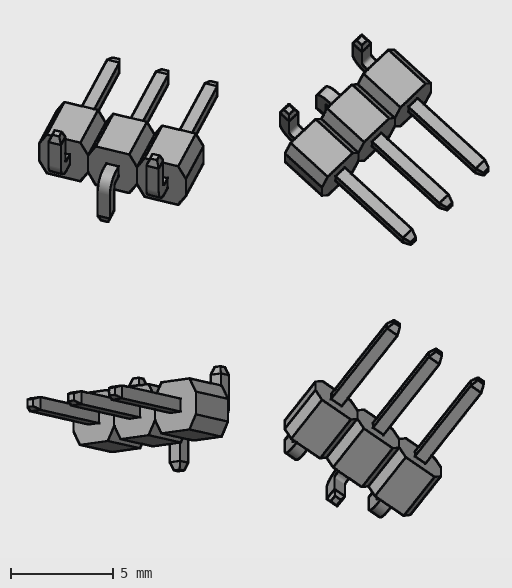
import cadquery as cq

pin_count = 3
pitch = 2.54
housing_depth = 2.54
housing_height = 2.54
chamfer_x = 0.4
chamfer_z = 0.71
pin_width = 0.64
overall_length = 8.82
tail_reach = 1.28
tail_height = 2.425
bend_inner_radius = 0.17
tip_length = 0.4
tip_width = 0.36

bend_outer_radius = bend_inner_radius + pin_width
half_pin = pin_width / 2
tail_front_y = -tail_reach
tail_back_y = tail_front_y + pin_width
post_end_y = overall_length - tail_reach
post_shoulder_y = post_end_y - tip_length
tail_shoulder_z = tail_height - tip_length


def position_x(index):
    """X position of a contact, with the row centred on X = 0."""
    return (index - (pin_count - 1) / 2) * pitch


def bent_wire():
    """Square wire bent from the long post up into the tail, without its tips."""
    bend_y = tail_front_y + bend_outer_radius
    bend_z = -half_pin + bend_outer_radius
    return (
        cq.Workplane("YZ")
        .moveTo(post_shoulder_y, -half_pin)
        .lineTo(bend_y, -half_pin)
        .radiusArc((tail_front_y, bend_z), bend_outer_radius)
        .lineTo(tail_front_y, tail_shoulder_z)
        .lineTo(tail_back_y, tail_shoulder_z)
        .lineTo(tail_back_y, bend_z)
        .radiusArc((bend_y, half_pin), -bend_inner_radius)
        .lineTo(post_shoulder_y, half_pin)
        .close()
        .extrude(half_pin, both=True)
    )


def tapered_tip(base_point, direction):
    """Square tip narrowing from the wire section at base_point."""
    base = cq.Plane(origin=base_point, xDir=(1, 0, 0), normal=direction)
    return (
        cq.Workplane(base)
        .rect(pin_width, pin_width)
        .workplane(offset=tip_length)
        .rect(tip_width, tip_width)
        .loft(ruled=True)
    )


def make_pin(index):
    """Bent pin; every second tail points down instead of up."""
    post_tip = tapered_tip((0, post_shoulder_y, 0), (0, 1, 0))
    tail_tip = tapered_tip((0, tail_front_y + half_pin, tail_shoulder_z), (0, 0, 1))
    pin = bent_wire().union(post_tip).union(tail_tip)
    if index % 2 == 1:
        pin = pin.mirror("XY")
    return pin.translate((position_x(index), 0, 0))


def make_housing(index):
    """Eight-sided housing block with a square through hole for its pin."""
    half_width = pitch / 2
    half_height = housing_height / 2
    flat_x = half_width - chamfer_x
    flat_z = half_height - chamfer_z
    outline = [
        (flat_x, half_height),
        (half_width, flat_z),
        (half_width, -flat_z),
        (flat_x, -half_height),
        (-flat_x, -half_height),
        (-half_width, -flat_z),
        (-half_width, flat_z),
        (-flat_x, half_height),
    ]
    block = cq.Workplane("XZ").polyline(outline).close().extrude(-housing_depth)
    pin_hole = cq.Workplane("XZ").rect(pin_width, pin_width).extrude(-housing_depth)
    return block.cut(pin_hole).translate((position_x(index), 0, 0))


housings = [make_housing(index) for index in range(pin_count)]
pins = [make_pin(index) for index in range(pin_count)]

result = cq.Compound.makeCompound([body.val() for body in housings + pins])